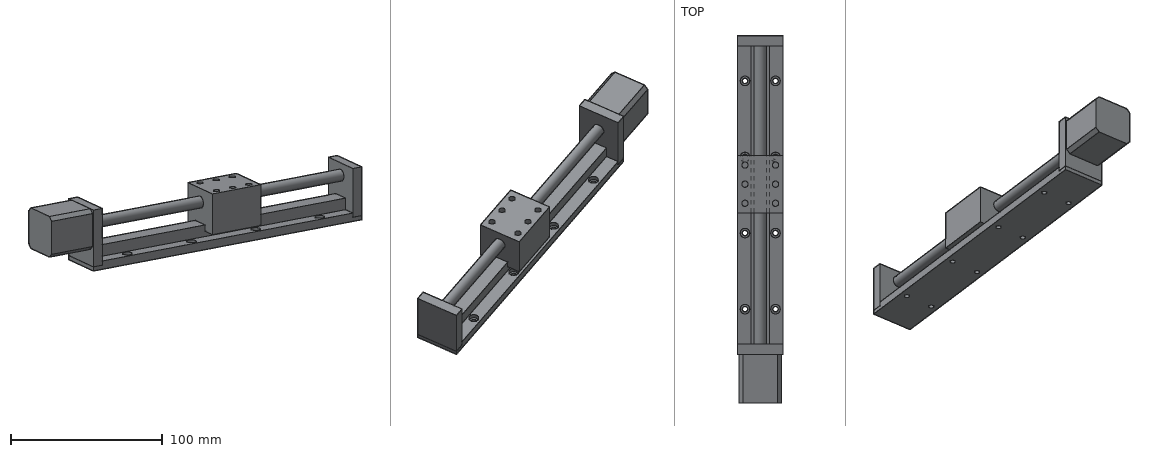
import cadquery as cq

WIDTH = 30.0
BASE_LENGTH = 210.0
BASE_HEIGHT = 5.8
SEAT_HEIGHT = 3.0
RAIL_WIDTH = 12.0
RAIL_TOP = 13.8

HOLE_SPACING_X = 20.0
MOUNT_PITCH = 50.0
MOUNT_COUNT = 4
MOUNT_DIAMETER = 3.5
COUNTERBORE_DIAMETER = 6.3
COUNTERBORE_DEPTH = 3.0

TOTAL_LENGTH = 242.0
TOTAL_HEIGHT = 42.0
MOTOR_SIZE = 28.0
MOTOR_CHAMFER = 2.7
MOTOR_PLATE_THICKNESS = 7.0

END_PLATE_THICKNESS = 7.0
END_PLATE_TOP = 36.5

ROD_DIAMETER = 8.0
AXIS_HEIGHT = TOTAL_HEIGHT - MOTOR_SIZE / 2

CARRIAGE_LENGTH = 38.0
CARRIAGE_BOTTOM = 9.5
CARRIAGE_TOP = 37.5
CARRIAGE_TO_FAR_END = 79.0
TAPPED_DIAMETER = 4.0
TAPPED_DEPTH = 6.0
TAPPED_PITCH = 12.5
TAPPED_COUNT = 3

BASE_FRONT = -BASE_LENGTH / 2
BASE_BACK = BASE_LENGTH / 2
SPAN_FRONT = BASE_FRONT + MOTOR_PLATE_THICKNESS
SPAN_BACK = BASE_BACK - END_PLATE_THICKNESS
MOTOR_FRONT = BASE_BACK - TOTAL_LENGTH
CARRIAGE_BACK = BASE_BACK - CARRIAGE_TO_FAR_END
CARRIAGE_FRONT = CARRIAGE_BACK - CARRIAGE_LENGTH
CARRIAGE_CENTRE = (CARRIAGE_FRONT + CARRIAGE_BACK) / 2


def block(width, y_start, y_end, z_bottom, z_top):
    """Rectangular block centred on X between the given Y and Z limits."""
    return cq.Workplane("XY").box(
        width, y_end - y_start, z_top - z_bottom, centered=(True, False, False)
    ).translate((0, y_start, z_bottom))


def top_plane(y, z):
    """Horizontal workplane centred on X at the given Y and Z."""
    return cq.Workplane("XY", origin=(0, y, z))


def make_base():
    seats = block(WIDTH, BASE_FRONT, BASE_BACK, 0, SEAT_HEIGHT)
    bed = block(WIDTH, SPAN_FRONT, SPAN_BACK, 0, BASE_HEIGHT)
    rail = block(RAIL_WIDTH, SPAN_FRONT, SPAN_BACK, 0, RAIL_TOP)
    mounts = top_plane(0, BASE_HEIGHT).rarray(HOLE_SPACING_X, MOUNT_PITCH, 2, MOUNT_COUNT)
    bores = mounts.circle(MOUNT_DIAMETER / 2).extrude(-BASE_HEIGHT)
    counterbores = mounts.circle(COUNTERBORE_DIAMETER / 2).extrude(-COUNTERBORE_DEPTH)
    return seats.union(bed).union(rail).cut(bores).cut(counterbores)


def make_motor_plate():
    return block(WIDTH, BASE_FRONT, SPAN_FRONT, SEAT_HEIGHT, TOTAL_HEIGHT)


def make_end_plate():
    return block(WIDTH, SPAN_BACK, BASE_BACK, SEAT_HEIGHT, END_PLATE_TOP)


def make_motor():
    body = block(MOTOR_SIZE, MOTOR_FRONT, BASE_FRONT, TOTAL_HEIGHT - MOTOR_SIZE, TOTAL_HEIGHT)
    return body.edges("|Y").chamfer(MOTOR_CHAMFER)


def make_rod():
    """Round rod spanning the gap between the two upright plates."""
    start = cq.Workplane("XZ", origin=(0, SPAN_BACK, AXIS_HEIGHT))
    return start.circle(ROD_DIAMETER / 2).extrude(SPAN_BACK - SPAN_FRONT)


def make_carriage(rod):
    """Block straddling the rail, bored for the rod, with blind holes in its top."""
    body = block(WIDTH, CARRIAGE_FRONT, CARRIAGE_BACK, CARRIAGE_BOTTOM, CARRIAGE_TOP)
    rail_slot = block(RAIL_WIDTH, CARRIAGE_FRONT, CARRIAGE_BACK, CARRIAGE_BOTTOM, RAIL_TOP)
    tapped_holes = (
        top_plane(CARRIAGE_CENTRE, CARRIAGE_TOP)
        .rarray(HOLE_SPACING_X, TAPPED_PITCH, 2, TAPPED_COUNT)
        .circle(TAPPED_DIAMETER / 2)
        .extrude(-TAPPED_DEPTH)
    )
    return body.cut(rail_slot).cut(rod).cut(tapped_holes)


base = make_base()
motor_plate = make_motor_plate()
end_plate = make_end_plate()
motor = make_motor()
rod = make_rod()
carriage = make_carriage(rod)

result = cq.Compound.makeCompound([
    base.val(),
    motor_plate.val(),
    end_plate.val(),
    motor.val(),
    rod.val(),
    carriage.val(),
])